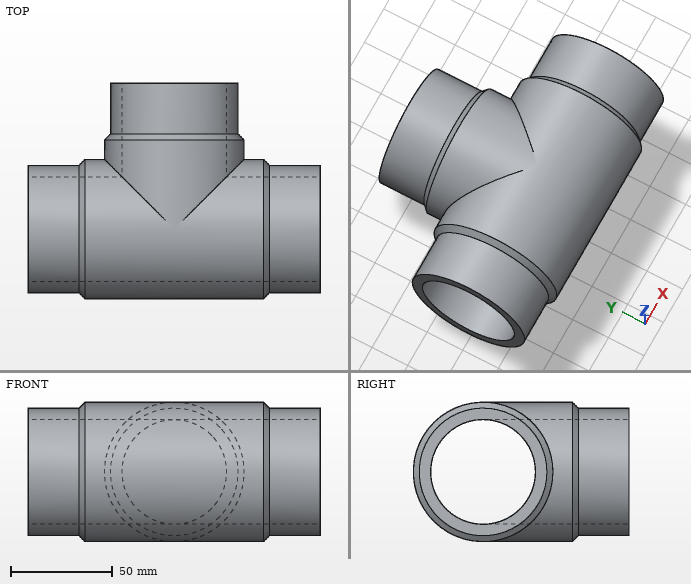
import cadquery as cq

run_length = 144.0
branch_length = run_length / 2

body_diameter = 68.8
spigot_diameter = 63.0
bore_diameter = 51.5

spigot_length = 25.0
chamfer = (body_diameter - spigot_diameter) / 2

run_plane = cq.Plane.YZ()
branch_plane = cq.Plane(origin=(0, 0, 0), xDir=(1, 0, 0), normal=(0, 1, 0))


def cylinder(plane, diameter, start, end):
    """Cylinder along the plane normal between two distances from the origin."""
    return cq.Workplane(plane).workplane(offset=start).circle(diameter / 2).extrude(end - start)


def run_outside():
    """Solid run: a chamfered body with a spigot at both ends."""
    half_length = run_length / 2
    half_body = half_length - spigot_length
    body = cylinder(run_plane, body_diameter, -half_body, half_body)
    body = body.faces("<X or >X").chamfer(chamfer)
    return body.union(cylinder(run_plane, spigot_diameter, -half_length, half_length))


def branch_outside():
    """Solid branch: starts on the run axis and ends in a spigot."""
    body = cylinder(branch_plane, body_diameter, 0, branch_length - spigot_length)
    body = body.faces(">Y").chamfer(chamfer)
    return body.union(cylinder(branch_plane, spigot_diameter, 0, branch_length))


run_bore = cylinder(run_plane, bore_diameter, -run_length / 2, run_length / 2)
branch_bore = cylinder(branch_plane, bore_diameter, 0, branch_length)

result = run_outside().union(branch_outside()).cut(run_bore).cut(branch_bore)